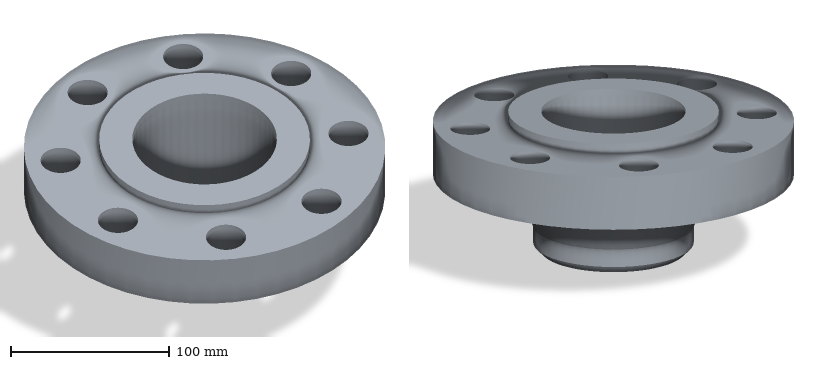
import cadquery as cq

flange_diameter = 228.5
flange_thickness = 35.2
raised_face_diameter = 133.3
raised_face_height = 6.5

hub_diameter = 133.3
neck_diameter = 101.7
bevel_end_diameter = 92.0
taper_height = 33.8
neck_height = 11.7
bevel_height = 5.0

bore_diameter = 91.5
bolt_circle_diameter = 184.0
bolt_hole_diameter = 25.4
bolt_hole_count = 8

neck_bottom = bevel_height
neck_top = neck_bottom + neck_height
flange_bottom = neck_top + taper_height
flange_top = flange_bottom + flange_thickness
face_top = flange_top + raised_face_height


def make_body():
    """Revolve the bored half section about the Z axis."""
    section = [
        (bore_diameter / 2, 0),
        (bevel_end_diameter / 2, 0),
        (neck_diameter / 2, neck_bottom),
        (neck_diameter / 2, neck_top),
        (hub_diameter / 2, flange_bottom),
        (flange_diameter / 2, flange_bottom),
        (flange_diameter / 2, flange_top),
        (raised_face_diameter / 2, flange_top),
        (raised_face_diameter / 2, face_top),
        (bore_diameter / 2, face_top),
    ]
    return cq.Workplane("XZ").polyline(section).close().revolve(360, (0, 0), (0, 1))


def make_bolt_holes():
    """Cylinders through the flange, straddling the X and Y axes."""
    half_pitch_angle = 180 / bolt_hole_count
    return (
        cq.Workplane("XY", origin=(0, 0, flange_bottom))
        .polarArray(bolt_circle_diameter / 2, half_pitch_angle, 360, bolt_hole_count)
        .circle(bolt_hole_diameter / 2)
        .extrude(flange_thickness)
    )


result = make_body().cut(make_bolt_holes())